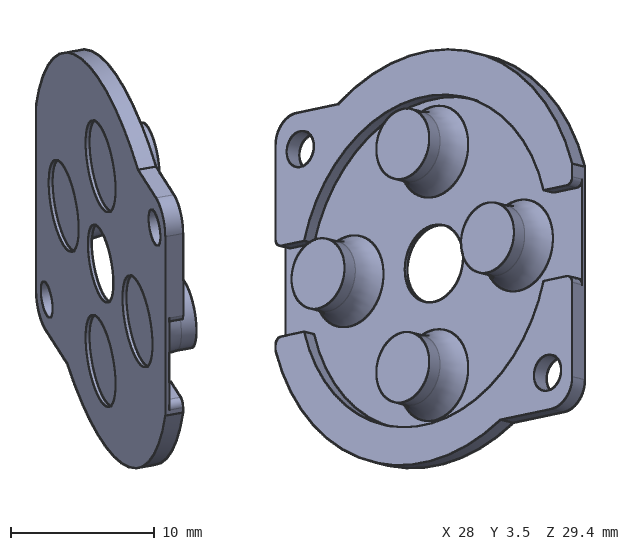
import cadquery as cq
import math

DISC_RADIUS = 14.7
PLATE_WIDTH = 28.0
PLATE_THICKNESS = 1.32
EAR_HALF_HEIGHT = 12.52
EAR_CORNER_RADIUS = 2.0

PATTERN_Z = -0.25

CENTER_HOLE_DIAMETER = 5.5
MOUNT_HOLE_DIAMETER = 2.55
MOUNT_HOLE_X = 11.65
MOUNT_HOLE_OFFSET_Z = 9.87

WEB_THICKNESS = 0.3
POCKET_RADIUS = 11.75
CHANNEL_WIDTH = 6.5
CHANNEL_MOUTH_RADIUS = 0.53

BUTTON_COUNT = 4
BUTTON_PITCH_RADIUS = 8.0
BUTTON_BASE_DIAMETER = 6.5
BUTTON_TIP_DIAMETER = 5.0
BUTTON_BACK_Y = 3.5
BUTTON_FLARE_END_Y = 2.38

HALF_WIDTH = PLATE_WIDTH / 2


def button_centers():
    """X, Z centres of the buttons, equally spaced around the pattern centre."""
    step = 2 * math.pi / BUTTON_COUNT
    return [
        (
            BUTTON_PITCH_RADIUS * math.cos(i * step),
            PATTERN_Z + BUTTON_PITCH_RADIUS * math.sin(i * step),
        )
        for i in range(BUTTON_COUNT)
    ]


def cylinder_y(x, z, diameter):
    """Cylinder along +Y spanning the full plate thickness."""
    return cq.Workplane("XZ", origin=(x, 0, z)).circle(diameter / 2).extrude(-PLATE_THICKNESS)


def make_ear(side):
    """Ear block reaching one outer corner: side is +1 (upper right) or -1 (lower left)."""
    ear = (
        cq.Workplane("XZ", origin=(side * HALF_WIDTH / 2, 0, PATTERN_Z + side * EAR_HALF_HEIGHT / 2))
        .rect(HALF_WIDTH, EAR_HALF_HEIGHT)
        .extrude(-PLATE_THICKNESS)
    )
    outer_corner = ">X and >Z" if side > 0 else "<X and <Z"
    return ear.edges("|Y").edges(outer_corner).fillet(EAR_CORNER_RADIUS)


def make_channel():
    """Cutter for the back channel, widening at both plate sides with rounded mouths."""
    half = CHANNEL_WIDTH / 2
    mouth_half = half + CHANNEL_MOUTH_RADIUS
    inner_x = HALF_WIDTH - CHANNEL_MOUTH_RADIUS
    mid = CHANNEL_MOUTH_RADIUS * math.sqrt(0.5)
    arc_x = inner_x + mid
    arc_z = mouth_half - mid
    return (
        cq.Workplane("XZ", origin=(0, WEB_THICKNESS, PATTERN_Z))
        .moveTo(-inner_x, half)
        .lineTo(inner_x, half)
        .threePointArc((arc_x, arc_z), (HALF_WIDTH, mouth_half))
        .lineTo(HALF_WIDTH, -mouth_half)
        .threePointArc((arc_x, -arc_z), (inner_x, -half))
        .lineTo(-inner_x, -half)
        .threePointArc((-arc_x, -arc_z), (-HALF_WIDTH, -mouth_half))
        .lineTo(-HALF_WIDTH, mouth_half)
        .threePointArc((-arc_x, arc_z), (-inner_x, half))
        .close()
        .extrude(WEB_THICKNESS - PLATE_THICKNESS)
    )


def make_pocket():
    """Cutter for the round back pocket, leaving the thin web at the front."""
    return (
        cq.Workplane("XZ", origin=(0, WEB_THICKNESS, PATTERN_Z))
        .circle(POCKET_RADIUS)
        .extrude(WEB_THICKNESS - PLATE_THICKNESS)
    )


def make_plate():
    """Plate with ears, mounting holes, centre hole, button holes, back pocket and channel."""
    sides = cq.Workplane("XZ").rect(PLATE_WIDTH, 2 * DISC_RADIUS).extrude(-PLATE_THICKNESS)
    plate = cylinder_y(0, 0, 2 * DISC_RADIUS).intersect(sides)
    for side in (1, -1):
        plate = plate.union(make_ear(side))
    for side in (1, -1):
        hole_z = PATTERN_Z + side * MOUNT_HOLE_OFFSET_Z
        plate = plate.cut(cylinder_y(side * MOUNT_HOLE_X, hole_z, MOUNT_HOLE_DIAMETER))
    plate = plate.cut(cylinder_y(0, PATTERN_Z, CENTER_HOLE_DIAMETER))
    for x, z in button_centers():
        plate = plate.cut(cylinder_y(x, z, BUTTON_BASE_DIAMETER))
    return plate.cut(make_pocket()).cut(make_channel())


def make_button(x, z):
    """Round button whose concave flare runs tangent into its cylindrical tip."""
    base_radius = BUTTON_BASE_DIAMETER / 2
    tip_radius = BUTTON_TIP_DIAMETER / 2
    return (
        cq.Workplane("XY")
        .moveTo(0, BUTTON_BACK_Y)
        .lineTo(tip_radius, BUTTON_BACK_Y)
        .lineTo(tip_radius, BUTTON_FLARE_END_Y)
        .tangentArcPoint((base_radius, WEB_THICKNESS), relative=False)
        .lineTo(0, WEB_THICKNESS)
        .close()
        .revolve(360, (0, 0, 0), (0, 1, 0))
        .translate((x, 0, z))
    )


plate = make_plate()
buttons = [make_button(x, z) for x, z in button_centers()]

result = cq.Compound.makeCompound([plate.val(), *[button.val() for button in buttons]])